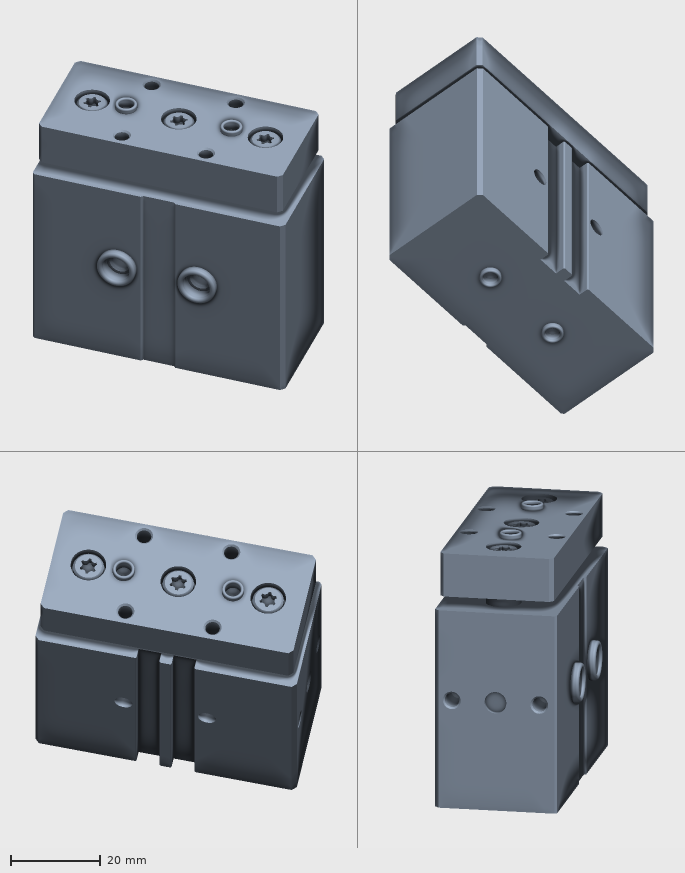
import cadquery as cq
import math


OVERALL_HEIGHT = 61.4

HOUSING_WIDTH = 60.0
HOUSING_DEPTH = 28.0
HOUSING_HEIGHT = 45.9
CORNER_CHAMFER = 1.0
SMALL_CORNER_CHAMFER = 0.55
FRONT_Y = -HOUSING_DEPTH / 2
REAR_Y = HOUSING_DEPTH / 2
LEFT_X = -HOUSING_WIDTH / 2

FRONT_GROOVE_FLOOR_WIDTH = 7.25
FRONT_GROOVE_DEPTH = 0.5

SENSOR_RIB_WIDTH = 2.8
SENSOR_SLOT_WIDTH = 5.2
SENSOR_SLOT_DEPTH = 2.45
SENSOR_SLOT_ROUND = 0.35

SIDE_FEATURE_Z = 25.1

PLATE_WIDTH = 58.0
PLATE_DEPTH = 26.05
PLATE_HEIGHT = 10.0
PLATE_GAP = 3.0
PLATE_BOTTOM = HOUSING_HEIGHT + PLATE_GAP
PLATE_TOP = PLATE_BOTTOM + PLATE_HEIGHT

THREAD_DIAMETER = 3.25
THREAD_MOUTH_DIAMETER = 4.05
THREAD_DEPTH = 8.0
HOLE_SPACING = 20.0
DRILL_TIP_ANGLE = 118.0

GUIDE_ROD_DIAMETER = 8.0
PISTON_ROD_DIAMETER = 5.5
ROD_OFFSET = 20.6
ROD_INSERTION = 30.0
HEAD_DIAMETER = 7.0
HEAD_TOP_DIAMETER = 6.0
HEAD_HEIGHT = 3.0
HEAD_RECESS = 0.5
HEAD_SEAT = PLATE_TOP - HEAD_RECESS - HEAD_HEIGHT
SOCKET_TIP_RADIUS = 1.95
SOCKET_ROOT_RADIUS = 1.4
SOCKET_TIP_HALF_ANGLE = 9.0
SOCKET_DEPTH = 1.85
SOCKET_LOBES = 6

SMALL_SLEEVE_DIAMETER = 5.0
SMALL_SLEEVE_BORE = 3.5
SMALL_SLEEVE_PROJECTION = (OVERALL_HEIGHT - PLATE_TOP) / 2
SMALL_SLEEVE_SEAT = 1.2
TOP_SLEEVE_OFFSET = 12.5
BOTTOM_SLEEVE_OFFSET = 10.55

LARGE_SLEEVE_DIAMETER = 9.0
LARGE_SLEEVE_BORE = 6.4
LARGE_SLEEVE_PROJECTION = 1.85
LARGE_SLEEVE_SEAT = 1.5
MOUNTING_HOLE_OFFSET = 9.6
MOUNTING_HOLE_DIAMETER = 4.1
MOUNTING_HOLE_MOUTH = 5.0


def cylinder(diameter, start, direction, length):
    """Solid cylinder starting at a point and running along a direction."""
    axis = cq.Vector(*direction)
    return cq.Workplane(obj=cq.Solid.makeCylinder(diameter / 2, length, cq.Vector(*start), axis))


def mouth_cone(mouth, diameter, start, direction):
    """45 degree countersink cutter that narrows from a mouth to a hole."""
    depth = (mouth - diameter) / 2
    axis = cq.Vector(*direction)
    return cq.Workplane(obj=cq.Solid.makeCone(mouth / 2, diameter / 2, depth, cq.Vector(*start), axis))


def drilled_hole(diameter, start, direction, depth):
    """Blind hole cutter with a conical drill tip."""
    tip_depth = diameter / 2 / math.tan(math.radians(DRILL_TIP_ANGLE / 2))
    axis = cq.Vector(*direction)
    tip_start = cq.Vector(*start) + axis * depth
    tip = cq.Workplane(obj=cq.Solid.makeCone(diameter / 2, 0, tip_depth, tip_start, axis))
    return cylinder(diameter, start, direction, depth).union(tip)


def small_sleeve_seat(x, face_z, inward):
    """Cutter for a small sleeve's seat and the drill tip below its bore; inward is +1 or -1 along Z."""
    direction = (0, 0, inward)
    start = (x, 0, face_z)
    seat = cylinder(SMALL_SLEEVE_DIAMETER, start, direction, SMALL_SLEEVE_SEAT)
    return seat.union(drilled_hole(SMALL_SLEEVE_BORE, start, direction, SMALL_SLEEVE_SEAT))


def make_sleeve(diameter, bore, seat, projection):
    """Sleeve along Z from -seat to projection, with a fully rounded rim at its outer end."""
    inner = bore / 2
    outer = diameter / 2
    rim_radius = (outer - inner) / 2
    rim_z = projection - rim_radius
    profile = cq.Workplane("XZ").moveTo(inner, -seat).lineTo(outer, -seat).lineTo(outer, rim_z)
    profile = profile.threePointArc((inner + rim_radius, projection), (inner, rim_z)).close()
    return profile.revolve(360, (0, 0, 0), (0, 1, 0))


def make_small_sleeve():
    return make_sleeve(SMALL_SLEEVE_DIAMETER, SMALL_SLEEVE_BORE, SMALL_SLEEVE_SEAT, SMALL_SLEEVE_PROJECTION)


def make_large_sleeve():
    return make_sleeve(LARGE_SLEEVE_DIAMETER, LARGE_SLEEVE_BORE, LARGE_SLEEVE_SEAT, LARGE_SLEEVE_PROJECTION)


def housing_block():
    """Extruded profile whose front left corner has a smaller chamfer than the others."""
    block = cq.Workplane("XY").box(HOUSING_WIDTH, HOUSING_DEPTH, HOUSING_HEIGHT, centered=(True, True, False))
    block = block.edges("|Z and (>X or >Y)").chamfer(CORNER_CHAMFER)
    return block.edges("|Z and <X and <Y").chamfer(SMALL_CORNER_CHAMFER)


def front_groove():
    """Shallow groove with 45 degree flanks along the full height of the front face."""
    floor_x = FRONT_GROOVE_FLOOR_WIDTH / 2
    mouth_x = floor_x + FRONT_GROOVE_DEPTH
    floor_y = FRONT_Y + FRONT_GROOVE_DEPTH
    outline = [(-mouth_x, FRONT_Y), (mouth_x, FRONT_Y), (floor_x, floor_y), (-floor_x, floor_y)]
    return cq.Workplane("XY").polyline(outline).close().extrude(HOUSING_HEIGHT)


def cut_sensor_slots(housing):
    """Two upright slots in the rear face, with rounded mouths."""
    slot_x = (SENSOR_RIB_WIDTH + SENSOR_SLOT_WIDTH) / 2
    slot_size = (SENSOR_SLOT_WIDTH, SENSOR_SLOT_DEPTH, HOUSING_HEIGHT)
    for side in (-1, 1):
        slot = cq.Workplane("XY").box(*slot_size, centered=(True, True, False))
        housing = housing.cut(slot.translate((side * slot_x, REAR_Y - SENSOR_SLOT_DEPTH / 2, 0)))
    reach = slot_x + SENSOR_SLOT_WIDTH / 2 + SENSOR_SLOT_ROUND
    mouth = cq.selectors.BoxSelector(
        (-reach, REAR_Y - SENSOR_SLOT_ROUND, 0), (reach, REAR_Y + SENSOR_SLOT_ROUND, HOUSING_HEIGHT))
    return housing.edges("|Z").edges(mouth).fillet(SENSOR_SLOT_ROUND)


def cut_side_holes(housing):
    """Two threaded holes and a centring recess between them on the left side."""
    inward = (1, 0, 0)
    for y in (-HOLE_SPACING / 2, HOLE_SPACING / 2):
        start = (LEFT_X, y, SIDE_FEATURE_Z)
        housing = housing.cut(drilled_hole(THREAD_DIAMETER, start, inward, THREAD_DEPTH))
        housing = housing.cut(mouth_cone(THREAD_MOUTH_DIAMETER, THREAD_DIAMETER, start, inward))
    recess_start = (LEFT_X, 0, SIDE_FEATURE_Z)
    return housing.cut(cylinder(SMALL_SLEEVE_DIAMETER, recess_start, inward, SMALL_SLEEVE_SEAT))


def cut_mounting_holes(housing):
    """Two holes right through from the front, each with a seat for a large sleeve."""
    inward = (0, 1, 0)
    for x in (-MOUNTING_HOLE_OFFSET, MOUNTING_HOLE_OFFSET):
        start = (x, FRONT_Y, SIDE_FEATURE_Z)
        seat_floor = (x, FRONT_Y + LARGE_SLEEVE_SEAT, SIDE_FEATURE_Z)
        housing = housing.cut(cylinder(MOUNTING_HOLE_DIAMETER, start, inward, HOUSING_DEPTH))
        housing = housing.cut(cylinder(LARGE_SLEEVE_DIAMETER, start, inward, LARGE_SLEEVE_SEAT))
        housing = housing.cut(mouth_cone(MOUNTING_HOLE_MOUTH, MOUNTING_HOLE_DIAMETER, seat_floor, inward))
    return housing


def cut_rod_bores(housing):
    """Blind bores that the piston rod and the guide rods run in."""
    bores = ((-ROD_OFFSET, GUIDE_ROD_DIAMETER), (0, PISTON_ROD_DIAMETER), (ROD_OFFSET, GUIDE_ROD_DIAMETER))
    for x, diameter in bores:
        housing = housing.cut(cylinder(diameter, (x, 0, HOUSING_HEIGHT), (0, 0, -1), ROD_INSERTION))
    return housing


def make_housing():
    housing = cut_sensor_slots(housing_block().cut(front_groove()))
    housing = cut_side_holes(housing)
    housing = cut_mounting_holes(housing)
    housing = cut_rod_bores(housing)
    for x in (-BOTTOM_SLEEVE_OFFSET, BOTTOM_SLEEVE_OFFSET):
        housing = housing.cut(small_sleeve_seat(x, 0, 1))
    return housing


def star_socket():
    """Six-lobed socket cutter, open at Z = 0 and running down."""
    def polar(radius, degrees):
        angle = math.radians(degrees)
        return (radius * math.cos(angle), radius * math.sin(angle))

    pitch = 360 / SOCKET_LOBES
    first_lobe = 90
    outline = cq.Workplane("XY").moveTo(*polar(SOCKET_TIP_RADIUS, first_lobe - SOCKET_TIP_HALF_ANGLE))
    for lobe in range(SOCKET_LOBES):
        angle = first_lobe + lobe * pitch
        tip_end = polar(SOCKET_TIP_RADIUS, angle + SOCKET_TIP_HALF_ANGLE)
        next_tip = polar(SOCKET_TIP_RADIUS, angle + pitch - SOCKET_TIP_HALF_ANGLE)
        outline = outline.threePointArc(polar(SOCKET_TIP_RADIUS, angle), tip_end)
        outline = outline.threePointArc(polar(SOCKET_ROOT_RADIUS, angle + pitch / 2), next_tip)
    return outline.close().extrude(-SOCKET_DEPTH)


def rod_with_head(diameter):
    """Rod on the Z axis that carries a chamfered screw head on its upper end."""
    rod_bottom = HOUSING_HEIGHT - ROD_INSERTION
    rod_length = HEAD_SEAT - rod_bottom
    rod = cylinder(diameter, (0, 0, rod_bottom), (0, 0, 1), rod_length)
    head = cylinder(HEAD_DIAMETER, (0, 0, HEAD_SEAT), (0, 0, 1), HEAD_HEIGHT)
    head = head.faces(">Z").chamfer((HEAD_DIAMETER - HEAD_TOP_DIAMETER) / 2)
    head = head.cut(star_socket().translate((0, 0, HEAD_SEAT + HEAD_HEIGHT)))
    return rod.union(head)


def make_yoke():
    """Plate with its holes and sleeve seats, in one piece with the central piston rod."""
    yoke = cq.Workplane("XY").box(PLATE_WIDTH, PLATE_DEPTH, PLATE_HEIGHT, centered=(True, True, False))
    yoke = yoke.edges("|Z").chamfer(CORNER_CHAMFER).translate((0, 0, PLATE_BOTTOM))
    down = (0, 0, -1)
    for x in (-ROD_OFFSET, ROD_OFFSET):
        yoke = yoke.cut(cylinder(GUIDE_ROD_DIAMETER, (x, 0, PLATE_TOP), down, PLATE_HEIGHT))
    for x in (-HOLE_SPACING / 2, HOLE_SPACING / 2):
        for y in (-HOLE_SPACING / 2, HOLE_SPACING / 2):
            start = (x, y, PLATE_TOP)
            yoke = yoke.cut(cylinder(THREAD_DIAMETER, start, down, PLATE_HEIGHT))
            yoke = yoke.cut(mouth_cone(THREAD_MOUTH_DIAMETER, THREAD_DIAMETER, start, down))
    for x in (-TOP_SLEEVE_OFFSET, TOP_SLEEVE_OFFSET):
        yoke = yoke.cut(small_sleeve_seat(x, PLATE_TOP, -1))
    centre_recess = cylinder(GUIDE_ROD_DIAMETER, (0, 0, PLATE_TOP), down, PLATE_TOP - HEAD_SEAT)
    yoke = yoke.cut(centre_recess)
    return yoke.union(rod_with_head(PISTON_ROD_DIAMETER))


housing = make_housing()
yoke = make_yoke()

guide_rods = []
for x in (-ROD_OFFSET, ROD_OFFSET):
    guide_rods.append(rod_with_head(GUIDE_ROD_DIAMETER).translate((x, 0, 0)))

top_sleeves = []
for x in (-TOP_SLEEVE_OFFSET, TOP_SLEEVE_OFFSET):
    top_sleeves.append(make_small_sleeve().translate((x, 0, PLATE_TOP)))

bottom_sleeves = []
for x in (-BOTTOM_SLEEVE_OFFSET, BOTTOM_SLEEVE_OFFSET):
    turned = make_small_sleeve().rotate((0, 0, 0), (1, 0, 0), 180)
    bottom_sleeves.append(turned.translate((x, 0, 0)))

front_sleeves = []
for x in (-MOUNTING_HOLE_OFFSET, MOUNTING_HOLE_OFFSET):
    turned = make_large_sleeve().rotate((0, 0, 0), (1, 0, 0), 90)
    front_sleeves.append(turned.translate((x, FRONT_Y, SIDE_FEATURE_Z)))

bodies = [housing, yoke, *guide_rods, *top_sleeves, *bottom_sleeves, *front_sleeves]
result = cq.Compound.makeCompound([body.val() for body in bodies])